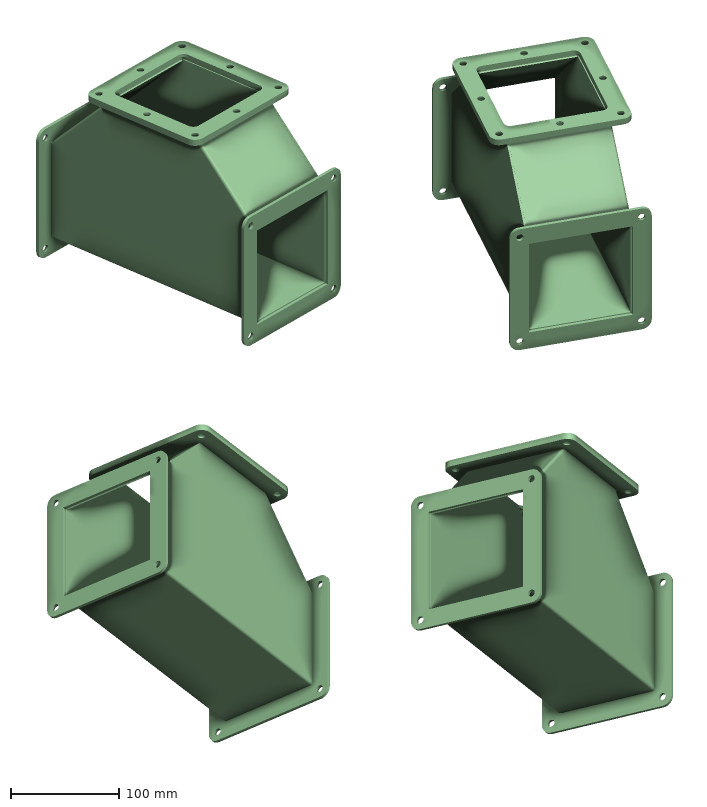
import cadquery as cq
import math

length = 254.0
height = 198.42
flange_size = 136.55

duct_width = 101.6
wall = 1.9
bend_inner_radius = 0.8
bend_outer_radius = bend_inner_radius + wall
seam_gap = 0.05

flange_thickness = 3.175
ring_thickness = 3.175
opening_size = 100.0
corner_radius = 9.525
ring_opening_radius = 6.35
hole_diameter = 7.1
hole_offset = 58.7

port_center_z = flange_size / 2
duct_half_width = duct_width / 2
duct_bottom_z = port_center_z - duct_half_width
duct_top_z = height - ring_thickness - flange_thickness
duct_half_length = length / 2 - flange_thickness

foot_x = duct_half_length
foot_z = port_center_z + duct_half_width
head_x = duct_half_width
head_z = duct_top_z
shoulder_length = math.hypot(foot_x - head_x, head_z - foot_z)
shoulder_angle = math.atan2(head_z - foot_z, foot_x - head_x)

corner_points = [(x, y) for x in (-hole_offset, hole_offset) for y in (-hole_offset, hole_offset)]
middle_points = [(-hole_offset, 0), (hole_offset, 0), (0, -hole_offset), (0, hole_offset)]


def make_plate(thickness, hole_points, opening_radius=0):
    """Round-cornered square plate on the XY plane, with a square opening and bolt holes."""
    plate = cq.Workplane("XY").rect(flange_size, flange_size).extrude(thickness)
    plate = plate.edges("|Z").fillet(corner_radius)
    opening = cq.Workplane("XY").rect(opening_size, opening_size).extrude(thickness)
    if opening_radius > 0:
        opening = opening.edges("|Z").fillet(opening_radius)
    holes = cq.Workplane("XY").pushPoints(hole_points).circle(hole_diameter / 2).extrude(thickness)
    return plate.cut(opening).cut(holes)


def add_front_bend(outline):
    """Continue a strip outline around the quarter bend that leads into the front side panel."""
    bend_center_y = -duct_half_width + bend_outer_radius
    diagonal = math.sqrt(0.5)
    return (
        outline
        .lineTo(bend_center_y, 0)
        .threePointArc(
            (bend_center_y - bend_outer_radius * diagonal, -bend_outer_radius * (1 - diagonal)),
            (-duct_half_width, -bend_outer_radius),
        )
        .lineTo(-duct_half_width + wall, -bend_outer_radius)
        .threePointArc(
            (bend_center_y - bend_inner_radius * diagonal,
             -bend_outer_radius + bend_inner_radius * diagonal),
            (bend_center_y, -wall),
        )
    )


def make_strip(strip_length, back_y):
    """Strip along X with its outer face at Z = 0, from the front bend to a plain edge at back_y."""
    outline = cq.Workplane("YZ").moveTo(back_y, 0)
    outline = add_front_bend(outline).lineTo(back_y, -wall).close()
    return outline.extrude(strip_length / 2, both=True)


def make_floor():
    """Floor with a bend on both sides, its outer face turned down."""
    half = make_strip(2 * duct_half_length, 0)
    strip = half.union(half.mirror("XZ"))
    return strip.mirror("XY").translate((0, 0, duct_bottom_z))


def make_shoulder(side):
    """Sloped wall bent from the front panel; its back edge stops at the open seam."""
    strip = make_strip(shoulder_length, duct_half_width - wall - seam_gap)
    return (
        strip
        .rotate((0, 0, 0), (0, 1, 0), side * math.degrees(shoulder_angle))
        .translate((side * (foot_x + head_x) / 2, 0, (foot_z + head_z) / 2))
    )


def make_side_panel(shoulder_points, outer_y):
    """Flat side panel from its outer face at outer_y inwards, given its right shoulder outline."""
    bottom_z = duct_bottom_z + bend_outer_radius
    right = [(duct_half_length, bottom_z)] + shoulder_points
    left = [(-x, z) for x, z in reversed(right)]
    outline = cq.Workplane("XZ", origin=(0, outer_y, 0)).polyline(right + left).close()
    return outline.extrude(math.copysign(wall, outer_y))


def make_duct():
    """Floor, side panels and shoulders joined into one folded sheet."""
    inset_x = -bend_outer_radius * math.sin(shoulder_angle)
    inset_z = -bend_outer_radius * math.cos(shoulder_angle)
    bent_edge = [
        (foot_x, foot_z),
        (foot_x + inset_x, foot_z + inset_z),
        (head_x + inset_x, head_z + inset_z),
        (head_x, head_z),
    ]
    plain_edge = [(foot_x, foot_z), (head_x, head_z)]
    front_panel = make_side_panel(bent_edge, -duct_half_width)
    back_panel = make_side_panel(plain_edge, duct_half_width)
    folded = make_floor().union(front_panel).union(back_panel)
    for side in (-1, 1):
        folded = folded.union(make_shoulder(side))
    return folded


def make_end_flange(start_x):
    """Flange standing across the X axis, starting at start_x."""
    flange = make_plate(flange_thickness, corner_points)
    return flange.rotate((0, 0, 0), (0, 1, 0), 90).translate((start_x, 0, port_center_z))


duct = make_duct()
end_flanges = [make_end_flange(x) for x in (-length / 2, duct_half_length)]
top_flange = make_plate(flange_thickness, corner_points).translate((0, 0, duct_top_z))
top_ring = make_plate(ring_thickness, corner_points + middle_points, ring_opening_radius)
top_ring = top_ring.translate((0, 0, duct_top_z + flange_thickness))

result = cq.Compound.makeCompound([
    duct.val(),
    *[flange.val() for flange in end_flanges],
    top_flange.val(),
    top_ring.val(),
])